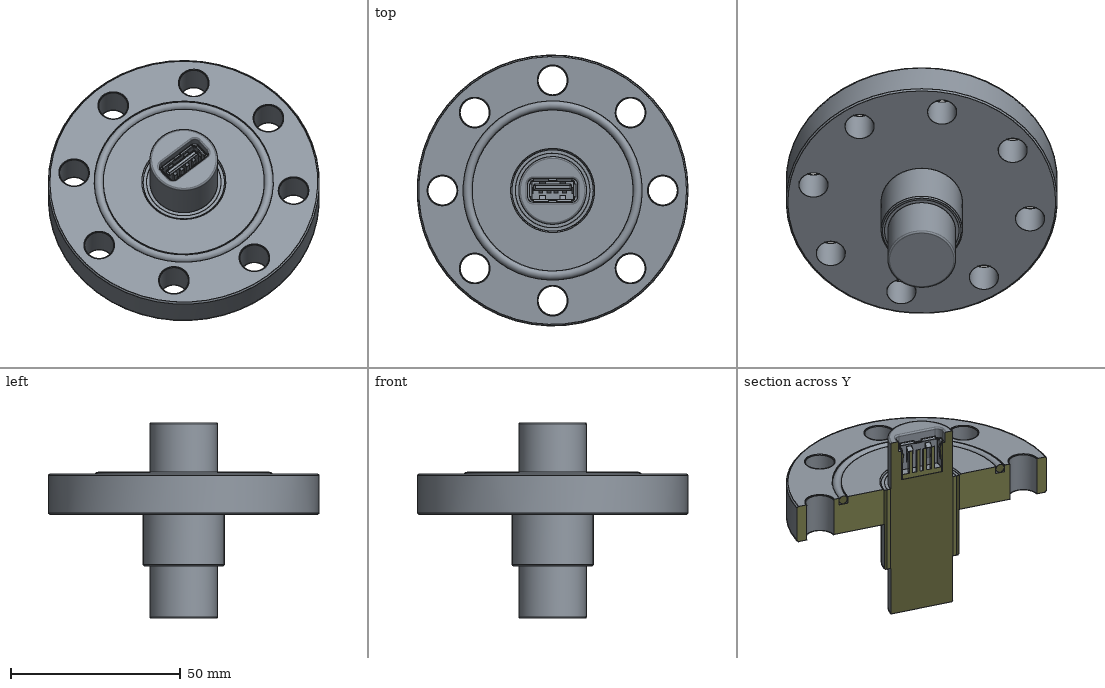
import cadquery as cq
import math

flange_diameter = 80.0
flange_thickness = 12.0
flange_bottom = 30.6
flange_top = flange_bottom + flange_thickness
flange_chamfer = 0.5
bolt_count = 8
bolt_circle_diameter = 65.0
bolt_hole_diameter = 8.6
bolt_hole_chamfer = 0.2
bolt_hole_chamfer_angle = 90

groove_inner_diameter = 47.5
groove_outer_diameter = 52.9
ring_section_radius = (groove_outer_diameter - groove_inner_diameter) / 4
ring_center_radius = (groove_outer_diameter + groove_inner_diameter) / 4
ring_protrusion = 0.5
groove_depth = 2 * ring_section_radius - ring_protrusion

sleeve_outer_diameter = 24.0
sleeve_inner_diameter = 22.0
sleeve_bottom = 15.4
bore_chamfer = 0.4
sleeve_top = flange_top - bore_chamfer
sleeve_chamfer = 0.4

barrel_diameter = 20.0
barrel_top = 57.6
barrel_edge_radius = 0.5

mouth_length = 14.7
mouth_width = 7.0
mouth_depth = 3.4
mouth_corner_radius = 1.6
mouth_floor = barrel_top - mouth_depth

opening_length = 12.3
opening_width = 5.2
shell_wall = 0.3
shell_corner_radius = 0.6
shell_length = opening_length + 2 * shell_wall
shell_width = opening_width + 2 * shell_wall
shell_height = 9.6
shell_bottom = mouth_floor - shell_height

lip_radius = 0.7
long_lip_start = 1.2
long_lip_end = 5.7
short_lip_length = 3.8

spring_width = 1.7
long_side_spring_offset = 3.0
front_spring_reach = 1.1
back_spring_reach = 0.6
short_side_spring_reach = 0.4
spring_top = mouth_floor - 0.5
spring_tip = spring_top - front_spring_reach
spring_bottom = mouth_floor - 5.6

insulator_base_height = 1.6
insulator_base_top = shell_bottom + insulator_base_height
tongue_length = 11.2
tongue_thickness = 1.8
tongue_center_y = 1.0
tongue_tip = mouth_floor
tongue_chamfer = 0.5
tongue_corner_chamfer = 0.3
contact_offsets = (-3.5, -1.0, 1.0, 3.5)
contact_width = 1.1
contact_reach = 0.7
contact_top = tongue_tip - 0.6
contact_slope_height = 0.8


def cylinder(diameter, bottom, top):
    return cq.Workplane("XY").workplane(offset=bottom).circle(diameter / 2).extrude(top - bottom)


def tube(outer_diameter, inner_diameter, bottom, top):
    return cylinder(outer_diameter, bottom, top).cut(cylinder(inner_diameter, bottom, top))


def block(length, width, bottom, top):
    return cq.Workplane("XY").workplane(offset=bottom).rect(length, width).extrude(top - bottom)


def build_flange():
    disc = cylinder(flange_diameter, flange_bottom, flange_top).edges().chamfer(flange_chamfer)
    bore = cylinder(sleeve_outer_diameter, flange_bottom, flange_top)
    disc = disc.cut(bore)
    disc = disc.faces(">Z").edges(cq.selectors.RadiusNthSelector(0)).chamfer(bore_chamfer)

    groove = tube(groove_outer_diameter, groove_inner_diameter, flange_top - groove_depth, flange_top)
    disc = disc.cut(groove)

    return (
        disc.faces(">Z").workplane(origin=(0, 0, 0))
        .polarArray(bolt_circle_diameter / 2, 0, 360, bolt_count)
        .cskHole(bolt_hole_diameter, bolt_hole_diameter + 2 * bolt_hole_chamfer, bolt_hole_chamfer_angle)
    )


def build_o_ring():
    ring_center_z = flange_top + ring_protrusion - ring_section_radius
    return (
        cq.Workplane("XZ").center(ring_center_radius, ring_center_z).circle(ring_section_radius)
        .revolve(360, (-ring_center_radius, 0), (-ring_center_radius, 1))
    )


def build_sleeve():
    sleeve = cylinder(sleeve_outer_diameter, sleeve_bottom, sleeve_top)
    sleeve = sleeve.faces("<Z").edges().chamfer(sleeve_chamfer)
    return sleeve.cut(cylinder(sleeve_inner_diameter, sleeve_bottom, sleeve_top))


def build_filler_ring():
    return tube(sleeve_inner_diameter, barrel_diameter, sleeve_bottom, sleeve_top)


def shell_envelope():
    envelope = block(shell_length, shell_width, shell_bottom, mouth_floor)
    return envelope.edges("|Z").fillet(shell_corner_radius)


def build_barrel():
    barrel = cylinder(barrel_diameter, 0, barrel_top)
    mouth = block(mouth_length, mouth_width, mouth_floor, barrel_top)
    mouth = mouth.edges("|Z").fillet(mouth_corner_radius)
    barrel = barrel.cut(mouth)
    barrel = barrel.faces("<Z or >Z").edges().fillet(barrel_edge_radius)
    return barrel.cut(shell_envelope())


def lip(wall_distance, start, end):
    """A quarter-round lip along X, curling outward from the inner wall face at y = -wall_distance."""
    diagonal = math.sqrt(0.5)
    curl_y = -(wall_distance + lip_radius)
    inner_radius = lip_radius - shell_wall
    return (
        cq.Workplane("YZ").workplane(offset=start)
        .moveTo(-wall_distance, mouth_floor)
        .threePointArc(
            (curl_y + lip_radius * diagonal, mouth_floor + lip_radius * diagonal),
            (curl_y, mouth_floor + lip_radius),
        )
        .lineTo(curl_y, mouth_floor + inner_radius)
        .threePointArc(
            (curl_y + inner_radius * diagonal, mouth_floor + inner_radius * diagonal),
            (curl_y + inner_radius, mouth_floor),
        )
        .close().extrude(end - start)
    )


def spring(wall_distance, reach, center_x):
    """A wedge on the wall face at y = -wall_distance, leaning inward as it goes down."""
    wall_y = -wall_distance
    return (
        cq.Workplane("YZ").workplane(offset=center_x - spring_width / 2)
        .polyline([(wall_y, spring_top), (wall_y + reach, spring_tip), (wall_y, spring_bottom)])
        .close().extrude(spring_width)
    )


def build_shell():
    shell = shell_envelope().cut(block(opening_length, opening_width, shell_bottom, mouth_floor))
    long_side = opening_width / 2
    short_side = opening_length / 2
    for turn, long_side_spring_reach in ((0, front_spring_reach), (180, back_spring_reach)):
        features = [
            lip(long_side, long_lip_start, long_lip_end),
            lip(long_side, -long_lip_end, -long_lip_start),
            spring(long_side, long_side_spring_reach, -long_side_spring_offset),
            spring(long_side, long_side_spring_reach, long_side_spring_offset),
            lip(short_side, -short_lip_length / 2, short_lip_length / 2).rotate((0, 0, 0), (0, 0, 1), 90),
            spring(short_side, short_side_spring_reach, 0).rotate((0, 0, 0), (0, 0, 1), 90),
        ]
        for feature in features:
            shell = shell.union(feature.rotate((0, 0, 0), (0, 0, 1), turn))
    return shell


def contact(center_x):
    """A ridge under the tongue with a sloped upper end."""
    tongue_side = tongue_center_y - tongue_thickness / 2
    outer_y = tongue_side - contact_reach
    return (
        cq.Workplane("YZ").workplane(offset=center_x - contact_width / 2)
        .polyline([
            (tongue_side, insulator_base_top),
            (tongue_side, contact_top),
            (outer_y, contact_top - contact_slope_height),
            (outer_y, insulator_base_top),
        ])
        .close().extrude(contact_width)
    )


def build_insulator():
    insulator = block(opening_length, opening_width, shell_bottom, insulator_base_top)
    tongue = block(tongue_length, tongue_thickness, insulator_base_top, tongue_tip)
    tongue = tongue.faces(">Y").edges("|Z").chamfer(tongue_corner_chamfer)
    tongue = tongue.faces(">Z").edges().chamfer(tongue_chamfer)
    insulator = insulator.union(tongue.translate((0, tongue_center_y, 0)))
    for center_x in contact_offsets:
        insulator = insulator.union(contact(center_x))
    return insulator


flange = build_flange()
o_ring = build_o_ring()
sleeve = build_sleeve()
filler_ring = build_filler_ring()
barrel = build_barrel()
shell = build_shell()
insulator = build_insulator()

result = cq.Compound.makeCompound([
    flange.val(),
    o_ring.val(),
    sleeve.val(),
    filler_ring.val(),
    barrel.val(),
    shell.val(),
    insulator.val(),
])